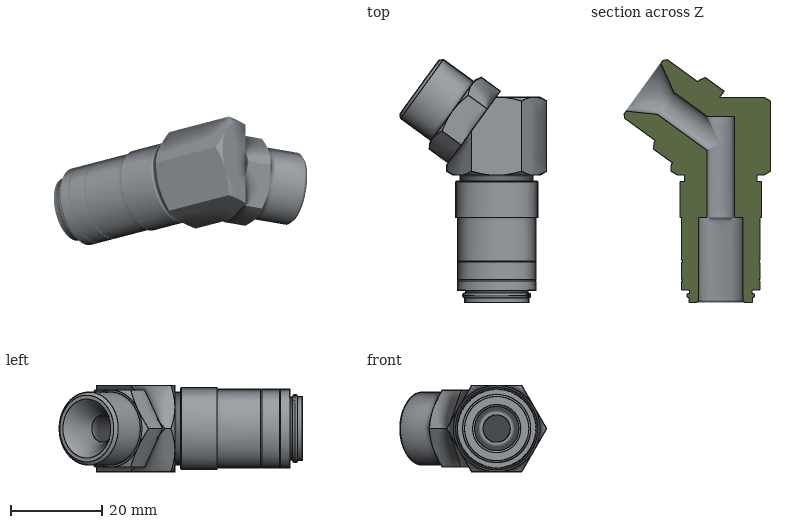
import cadquery as cq
import math


spigot_radius = 7.05
spigot_neck_radius = 6.9
ring_radius = 7.45
ring_section_radius = 0.55
ring_y = 1.6
body_start = 2.7
body_radius = 8.65
groove_width = 0.25
groove_depth = 0.15
groove_starts = (4.8, 8.9)
collar_start = 18.65
collar_radius = 9.0
collar_chamfer = 0.2
neck_start = 26.65
neck_radius = 8.0

block_start = 27.95
block_end = 45.05
block_flats = 19.0
hex_chamfer_angle = 30.0

outlet_angle = 36.0
outlet_base = (-4.9, 38.5)
nut_flats = 16.85
nut_length = 5.9
outlet_radius = 8.0
outlet_length = 14.9
outlet_chamfer = 0.7

mouth_bore_radius = 4.85
mouth_bore_depth = collar_start
mouth_chamfer = 0.45
passage_radius = 3.0
cone_radius = 6.45
cone_half_angle = 30.0

axis_slope = math.tan(math.radians(outlet_angle))
bend_y = outlet_base[1] + outlet_base[0] * axis_slope
base_to_bend = abs(outlet_base[0]) / math.cos(math.radians(outlet_angle))

stem_passage_end = bend_y + passage_radius * (axis_slope + 1 / math.cos(math.radians(outlet_angle)))

stem_plane = cq.Plane(origin=(0, 0, 0), xDir=(1, 0, 0), normal=(0, 1, 0))
outlet_direction = (
    -math.cos(math.radians(outlet_angle)),
    math.sin(math.radians(outlet_angle)),
    0,
)
outlet_plane = cq.Plane(
    origin=(outlet_base[0], outlet_base[1], 0),
    xDir=(outlet_direction[1], -outlet_direction[0], 0),
    normal=outlet_direction,
)


def cylinder(plane, radius, start, end):
    """Round bar along the plane normal between two distances."""
    return cq.Workplane(plane).workplane(offset=start).circle(radius).extrude(end - start)


def hexagon(plane, flats, start, end, chamfer_start):
    """Hexagonal bar with its corners turned down at the end, and optionally at the start."""
    corner_radius = flats / math.sqrt(3)
    end_radius = flats / 2
    height = (corner_radius - end_radius) * math.tan(math.radians(hex_chamfer_angle))
    bar = (
        cq.Workplane(plane)
        .workplane(offset=start)
        .polygon(6, 2 * corner_radius)
        .extrude(end - start)
    )
    profile = [(0, start)]
    if chamfer_start:
        profile += [(end_radius, start), (corner_radius, start + height)]
    else:
        profile += [(corner_radius, start)]
    profile += [(corner_radius, end - height), (end_radius, end), (0, end)]
    return bar.intersect(turned(plane, profile))


def turned(plane, profile):
    """Solid of revolution about the plane normal from (radius, distance) points."""
    points = [plane.toWorldCoords((radius, 0, distance)) for radius, distance in profile]
    half_section = cq.Face.makeFromWires(cq.Wire.makePolygon(points, close=True))
    axis_end = plane.origin + plane.zDir
    turned_solid = cq.Solid.revolve(half_section, 360, plane.origin, axis_end)
    return cq.Workplane(turned_solid)


def make_stem():
    """Spigot with sealing ring, grooved body, collar and neck."""
    stem = cylinder(stem_plane, spigot_radius, 0, ring_y)
    stem = stem.union(cylinder(stem_plane, spigot_neck_radius, ring_y, body_start))
    stem = stem.union(cylinder(stem_plane, body_radius, body_start, collar_start))
    for groove_start in groove_starts:
        groove_end = groove_start + groove_width
        groove = cylinder(stem_plane, body_radius, groove_start, groove_end)
        groove = groove.cut(cylinder(stem_plane, body_radius - groove_depth, groove_start, groove_end))
        stem = stem.cut(groove)
    collar = cylinder(stem_plane, collar_radius, collar_start, neck_start)
    stem = stem.union(collar.faces(">Y").edges().chamfer(collar_chamfer))
    stem = stem.union(cylinder(stem_plane, neck_radius, neck_start, block_start))
    ring = cq.Solid.makeTorus(
        ring_radius - ring_section_radius,
        ring_section_radius,
        cq.Vector(0, ring_y, 0),
        cq.Vector(0, 1, 0),
    )
    return stem.union(cq.Workplane(ring))


def make_block():
    """Hexagonal block sliced off square to the outlet axis."""
    block = hexagon(stem_plane, block_flats, block_start, block_end, True)
    slice_tool = cylinder(outlet_plane, block_end, 0, block_end)
    return block.cut(slice_tool)


def make_outlet():
    """Hexagonal nut carrying a round threaded end."""
    nut = hexagon(outlet_plane, nut_flats, 0, nut_length, False)
    barrel_profile = [
        (0, 0),
        (outlet_radius, 0),
        (outlet_radius, outlet_length - outlet_chamfer),
        (outlet_radius - outlet_chamfer, outlet_length),
        (0, outlet_length),
    ]
    return nut.union(turned(outlet_plane, barrel_profile))


def make_stem_passage():
    """Wide chamfered mouth stepping down to the passage that runs past the bend."""
    profile = [
        (0, 0),
        (mouth_bore_radius + mouth_chamfer, 0),
        (mouth_bore_radius, mouth_chamfer),
        (mouth_bore_radius, mouth_bore_depth),
        (passage_radius, mouth_bore_depth),
        (passage_radius, stem_passage_end),
        (0, stem_passage_end),
    ]
    return turned(stem_plane, profile)


def make_outlet_passage():
    """Conical seat leading into the passage that reaches the bend."""
    cone_depth = (cone_radius - passage_radius) / math.tan(math.radians(cone_half_angle))
    profile = [
        (0, -base_to_bend),
        (passage_radius, -base_to_bend),
        (passage_radius, outlet_length - cone_depth),
        (cone_radius, outlet_length),
        (0, outlet_length),
    ]
    return turned(outlet_plane, profile)


fitting = make_stem().union(make_block()).union(make_outlet())
result = fitting.cut(make_stem_passage()).cut(make_outlet_passage())